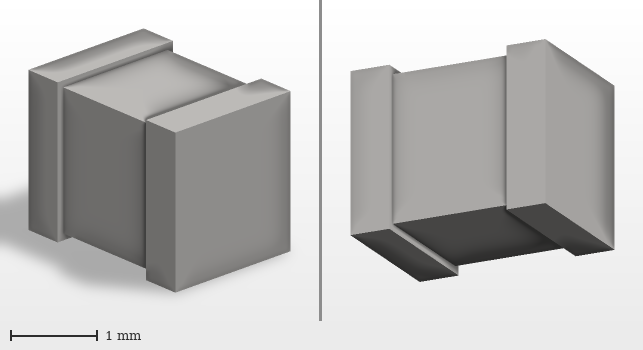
import cadquery as cq

length = 2.5
width = 1.8
height = 2.0

cap_length = 0.5
cap_step = 0.088


def end_cap(side):
    """Full-section block at one end; side is -1 or +1 along X."""
    center_x = side * (length - cap_length) / 2
    return cq.Workplane("XY").box(cap_length, width, height).translate((center_x, 0, 0))


result = cq.Workplane("XY").box(length - 2 * cap_length, width - 2 * cap_step, height - 2 * cap_step)

for side in (-1, 1):
    result = result.union(end_cap(side))